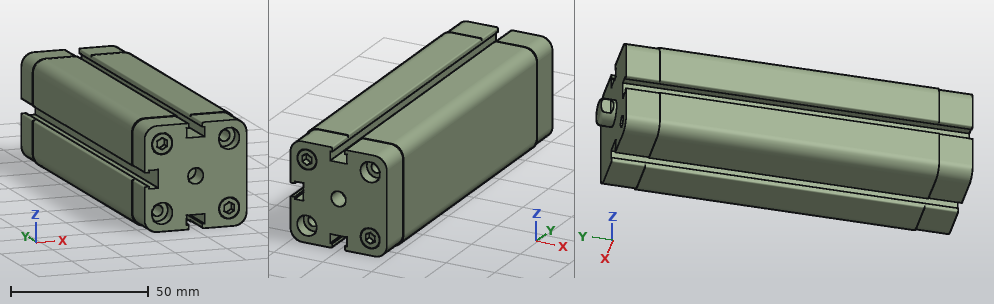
import cadquery as cq
import math

total_length = 135.0
rod_reach = 5.5
cap_length = 12.5
body_width = 40.1
cap_width = 39.5
corner_radius = 5.0

slot_mouth_width = 5.3
slot_inner_width = 6.9
slot_depth = 5.7
slot_lip = 2.0
slot_edge_radius = 0.5
slot_angles = (0, 90, 180)

corner_pitch = 25.9
counterbore_diameter = 8.0
counterbore_depth = 5.0
through_diameter = 4.2
screw_head_diameter = 7.5
screw_gap_depth = 4.0
hex_across_flats = 3.8
hex_depth = 3.0
center_hole_diameter = 6.0
center_hole_depth = 8.1

rod_diameter = 10.0
rod_across_flats = 8.0
rod_flat_length = 3.5
rod_tip_radius = 1.4

housing_length = total_length - rod_reach
body_length = housing_length - 2 * cap_length
corner_offset = corner_pitch / 2


def plane_at(y):
    """Sketch plane facing +Y, with sketch x = -X and sketch y = Z."""
    return cq.Workplane(cq.Plane(origin=(0, y, 0), xDir=(-1, 0, 0), normal=(0, 1, 0)))


def cylinder(x, z, diameter, start, length):
    return plane_at(start).center(-x, z).circle(diameter / 2).extrude(length)


def slot_cutter(width, start, length):
    """T slot at the top side of a section, its mouth edges rounded."""
    mouth = slot_mouth_width / 2
    inner = slot_inner_width / 2
    face = width / 2
    underside = body_width / 2 - slot_lip
    floor = body_width / 2 - slot_depth
    arc_mid = slot_edge_radius * (1 - math.sqrt(0.5))
    return (
        plane_at(start)
        .moveTo(-inner, floor)
        .lineTo(inner, floor)
        .lineTo(inner, underside)
        .lineTo(mouth, underside)
        .lineTo(mouth, face - slot_edge_radius)
        .threePointArc((mouth + arc_mid, face - arc_mid), (mouth + slot_edge_radius, face))
        .lineTo(-mouth - slot_edge_radius, face)
        .threePointArc((-mouth - arc_mid, face - arc_mid), (-mouth, face - slot_edge_radius))
        .lineTo(-mouth, underside)
        .lineTo(-inner, underside)
        .close()
        .extrude(length)
    )


def housing_section(width, start, length):
    """Rounded square prism with the three sensor slots running through it."""
    section = plane_at(start).rect(width, width).extrude(length)
    section = section.edges("|Y").fillet(corner_radius)
    slot = slot_cutter(width, start, length)
    for angle in slot_angles:
        section = section.cut(slot.rotate((0, 0, 0), (0, 1, 0), -angle))
    return section


def mounting_hole(x, z):
    """Through hole with a counterbore in the front cap."""
    hole = cylinder(x, z, through_diameter, 0, housing_length)
    return hole.union(cylinder(x, z, counterbore_diameter, 0, counterbore_depth))


def cap_screw(x, z):
    """Clearance ring around a flush screw head, and the hexagon socket in the head."""
    ring = cylinder(x, z, counterbore_diameter, 0, screw_gap_depth)
    ring = ring.cut(cylinder(x, z, screw_head_diameter, 0, screw_gap_depth))
    hex_across_corners = hex_across_flats / math.cos(math.pi / 6)
    socket = plane_at(0).polygon(6, hex_across_corners).extrude(hex_depth)
    socket = socket.rotate((0, 0, 0), (0, 1, 0), 30).translate((x, 0, z))
    return ring.union(socket)


def piston_rod():
    """Rod end with a rounded tip and wrench flats that run out at 45 degrees."""
    radius = rod_diameter / 2
    rod = cylinder(0, 0, rod_diameter, housing_length, rod_reach)
    rod = rod.faces(">Y").edges().fillet(rod_tip_radius)
    flat = rod_across_flats / 2
    flat_start = total_length - rod_flat_length
    runout = radius - flat
    flat_cutter = (
        cq.Workplane("XY")
        .moveTo(flat, total_length)
        .lineTo(flat, flat_start)
        .lineTo(radius, flat_start - runout)
        .lineTo(radius, total_length)
        .close()
        .extrude(radius, both=True)
    )
    return rod.cut(flat_cutter).cut(flat_cutter.mirror("YZ"))


housing = housing_section(cap_width, 0, cap_length)
housing = housing.union(housing_section(body_width, cap_length, body_length))
housing = housing.union(housing_section(cap_width, cap_length + body_length, cap_length))

for side in (-1, 1):
    housing = housing.cut(mounting_hole(side * corner_offset, side * corner_offset))
    housing = housing.cut(cap_screw(side * corner_offset, -side * corner_offset))

housing = housing.cut(cylinder(0, 0, center_hole_diameter, 0, center_hole_depth))

result = housing.union(piston_rod())